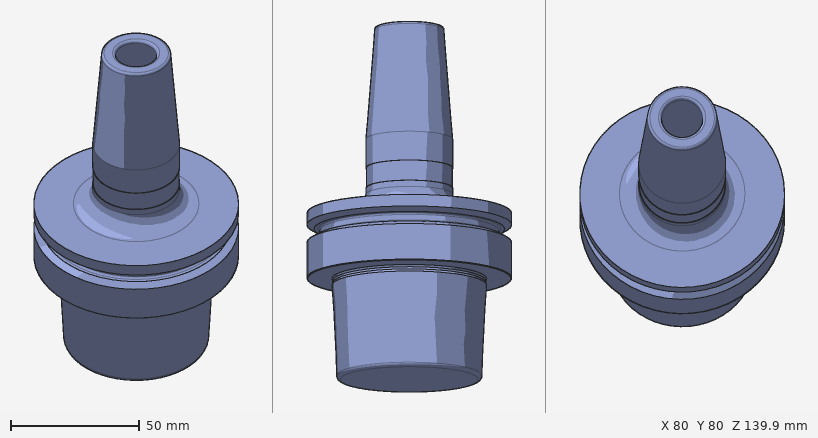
import cadquery as cq
import math

flange_radius = 40.0
flange_height = 26.0
flange_edge_chamfer = 0.3
groove_center = 17.9
groove_mouth_width = 7.0
groove_slot_width = 3.75
groove_floor_radius = 35.0
groove_fillet_radius = 0.8
groove_flank_angle = 30.0

shank_length = 40.0
taper_ratio = 9.98
taper_top_radius = 30.2
taper_top_depth = 2.6
relief_mouth_radius = 30.2
relief_floor_radius = 29.9
relief_floor_start = 0.85
relief_floor_end = 1.7
shank_end_round = 1.5

nose_top = 99.9
nose_tip_radius = 13.5
nose_radius = 17.0
nose_cone_angle = 4.5
nose_tip_round = 1.0
neck_radius = 16.8
neck_top = 44.0
neck_bottom = 36.0
root_fillet_radius = 7.5

bore_radius = 8.0
bore_depth = 50.0
bore_mouth_round = 1.2

sin_45 = math.sin(math.radians(45))
groove_flank_slope = math.tan(math.radians(groove_flank_angle))
groove_top = groove_center + groove_mouth_width / 2
groove_bottom = groove_center - groove_mouth_width / 2
groove_slot_top = groove_center + groove_slot_width / 2
groove_slot_bottom = groove_center - groove_slot_width / 2
groove_flank_radius = flange_radius - (groove_top - groove_slot_top) / groove_flank_slope
nose_slope = math.tan(math.radians(nose_cone_angle))
nose_cone_bottom = nose_top - (nose_radius - nose_tip_radius) / nose_slope
rounded_tip_radius = nose_tip_radius + nose_tip_round * nose_slope
taper_bottom = -shank_length + shank_end_round
taper_bottom_radius = taper_top_radius - (-taper_top_depth - taper_bottom) / (2 * taper_ratio)
root_fillet_top = flange_height + root_fillet_radius
root_outer_radius = nose_radius + root_fillet_radius


def quarter_arc(profile, center_radius, center_height, arc_radius, radial_side, vertical_side, end):
    """Add a quarter circle that bulges from its centre toward the given sides (+1 or -1)."""
    middle = (
        center_radius + radial_side * arc_radius * sin_45,
        center_height + vertical_side * arc_radius * sin_45,
    )
    return profile.threePointArc(middle, end)


def add_shank(profile):
    """Shank outline from the axis at its lower end up to the seating face."""
    inner_radius = taper_bottom_radius - shank_end_round
    profile = profile.moveTo(0, -shank_length).lineTo(inner_radius, -shank_length)
    taper_start = (taper_bottom_radius, taper_bottom)
    profile = quarter_arc(profile, inner_radius, taper_bottom, shank_end_round, 1, -1, taper_start)
    return (
        profile.lineTo(taper_top_radius, -taper_top_depth)
        .lineTo(relief_floor_radius, -relief_floor_end)
        .lineTo(relief_floor_radius, -relief_floor_start)
        .lineTo(relief_mouth_radius, 0)
    )


def add_collar(profile):
    """Collar outline with a gripper groove: sloped flanks, then a narrower slot with filleted corners."""
    fillet_center = groove_floor_radius + groove_fillet_radius
    lower_center = groove_slot_bottom + groove_fillet_radius
    upper_center = groove_slot_top - groove_fillet_radius
    floor_start = (groove_floor_radius, lower_center)
    slot_top_start = (fillet_center, groove_slot_top)
    profile = (
        profile.lineTo(flange_radius - flange_edge_chamfer, 0)
        .lineTo(flange_radius, flange_edge_chamfer)
        .lineTo(flange_radius, groove_bottom)
        .lineTo(groove_flank_radius, groove_slot_bottom)
        .lineTo(fillet_center, groove_slot_bottom)
    )
    profile = quarter_arc(profile, fillet_center, lower_center, groove_fillet_radius, -1, -1, floor_start)
    profile = profile.lineTo(groove_floor_radius, upper_center)
    profile = quarter_arc(profile, fillet_center, upper_center, groove_fillet_radius, -1, 1, slot_top_start)
    return (
        profile.lineTo(groove_flank_radius, groove_slot_top)
        .lineTo(flange_radius, groove_top)
        .lineTo(flange_radius, flange_height)
    )


def add_nose(profile):
    """Nose outline: root fillet, shallow neck, cone and rounded tip, ending on the axis."""
    root_end = (nose_radius, root_fillet_top)
    profile = profile.lineTo(root_outer_radius, flange_height)
    profile = quarter_arc(profile, root_outer_radius, root_fillet_top, root_fillet_radius, -1, -1, root_end)
    profile = (
        profile.lineTo(nose_radius, neck_bottom)
        .lineTo(neck_radius, neck_bottom)
        .lineTo(neck_radius, neck_top)
        .lineTo(nose_radius, neck_top)
        .lineTo(nose_radius, nose_cone_bottom)
        .lineTo(rounded_tip_radius, nose_top - nose_tip_round)
    )
    tip_center_radius = rounded_tip_radius - nose_tip_round
    tip_center_height = nose_top - nose_tip_round
    tip_end = (tip_center_radius, nose_top)
    profile = quarter_arc(profile, tip_center_radius, tip_center_height, nose_tip_round, 1, 1, tip_end)
    return profile.lineTo(0, nose_top)


def revolve_about_z(profile):
    """Close a half profile of (radius, height) points and revolve it about the Z axis."""
    return profile.close().revolve(360, (0, 0, 0), (0, 1, 0))


def holder_body():
    """The complete holder without its bore."""
    return revolve_about_z(add_nose(add_collar(add_shank(cq.Workplane("XZ")))))


def tool_bore():
    """Flat-bottomed bore with a rounded mouth, as a solid to cut away."""
    mouth_radius = bore_radius + bore_mouth_round
    mouth_bottom = nose_top - bore_mouth_round
    profile = (
        cq.Workplane("XZ")
        .moveTo(0, nose_top - bore_depth)
        .lineTo(bore_radius, nose_top - bore_depth)
        .lineTo(bore_radius, mouth_bottom)
    )
    mouth_edge = (mouth_radius, nose_top)
    profile = quarter_arc(profile, mouth_radius, mouth_bottom, bore_mouth_round, -1, 1, mouth_edge)
    return revolve_about_z(profile.lineTo(0, nose_top))


result = holder_body().cut(tool_bore())